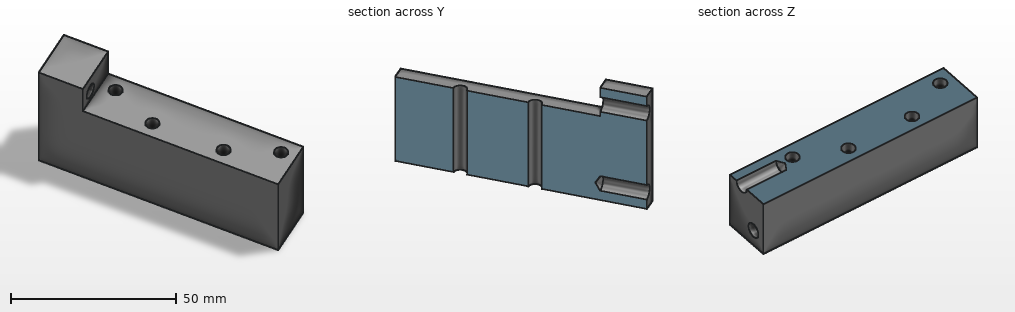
import cadquery as cq
import math

length = 81.0
width = 17.0
height = 40.0

head_length = 15.0
body_height = 30.0

vertical_hole_diameter = 4.3
front_row_y = 5.0
back_row_y = 12.0
vertical_holes = [
    (20.0, back_row_y),
    (36.0, front_row_y),
    (60.0, front_row_y),
    (76.0, back_row_y),
]

end_hole_diameter = 5.0
end_hole_depth = head_length
drill_tip_angle = 118.0
head_hole = (5.0, 34.0)
blind_holes = [(11.0, 20.0), (5.0, 6.0)]


def make_body():
    """L-shaped profile in XZ, extruded from Y = 0 toward +Y."""
    profile = [
        (0, 0),
        (length, 0),
        (length, body_height),
        (head_length, body_height),
        (head_length, height),
        (0, height),
    ]
    return cq.Workplane("XZ").polyline(profile).close().extrude(-width)


def vertical_cutters():
    return (
        cq.Workplane("XY")
        .pushPoints(vertical_holes)
        .circle(vertical_hole_diameter / 2)
        .extrude(height)
    )


def drill_cutter(y, z):
    """Cylinder with a conical drill tip, running along +X from the end face."""
    radius = end_hole_diameter / 2
    tip_length = radius / math.tan(math.radians(drill_tip_angle / 2))
    half_section = [
        (0, 0),
        (end_hole_depth + tip_length, 0),
        (end_hole_depth, radius),
        (0, radius),
    ]
    drill = cq.Workplane("XY").polyline(half_section).close().revolve(360, (0, 0), (1, 0))
    return drill.translate((0, y, z))


def head_cutter():
    return cq.Workplane("YZ").center(*head_hole).circle(end_hole_diameter / 2).extrude(head_length)


result = make_body().cut(vertical_cutters()).cut(head_cutter())
for hole_y, hole_z in blind_holes:
    result = result.cut(drill_cutter(hole_y, hole_z))